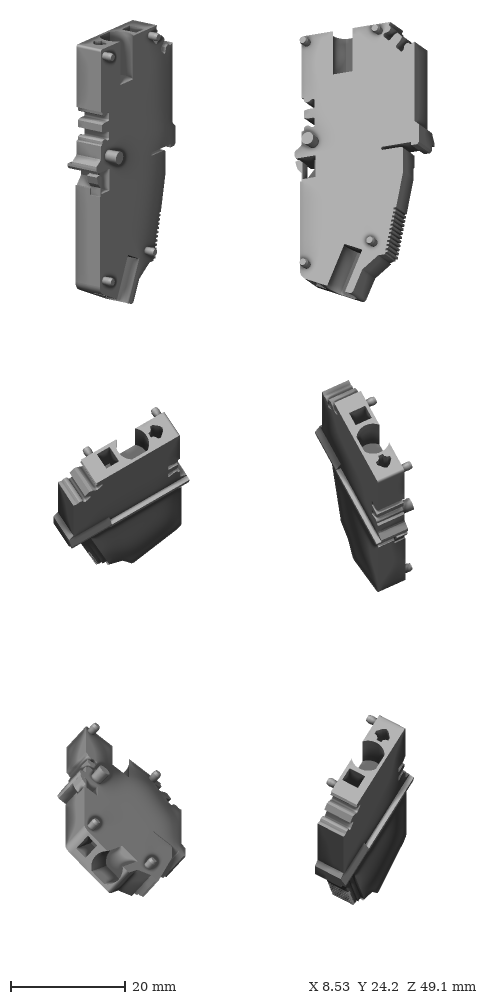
import cadquery as cq
import math


BODY_WIDTH = 5.2
TOP_Z = 22.5
UPPER_FRONT_Y = 0.3
UPPER_REAR_Y = 22.22
TOP_EDGE_RADIUS = 0.45

COLLAR_FRONT_Y = -1.06
COLLAR_REAR_Y = 23.14
COLLAR_REAR_TOP_Z = 2.6
COLLAR_REAR_SHOULDER_Z = 3.4
COLLAR_FRONT_TOP_Z = 1.37
COLLAR_FRONT_TOP_SETBACK = 0.06
COLLAR_SHOULDER_Z = 2.12
COLLAR_SHOULDER_Y = 0.12
COLLAR_WALL_Z = 2.41
COLLAR_UNDERCUT = 0.28
COLLAR_UNDERCUT_Z = 0.5
COLLAR_OVERHANG = 0.93
RIB_TOP_Z = 0.92
RIB_REAR_BOTTOM_Z = 0.42
RIB_JOG_START_Y = 15.0
RIB_JOG_END_Y = 15.55
RIB_BLOCK_FRONT_Y = 14.9
RIB_BLOCK_EDGE_Z = 1.05
RIB_BLOCK_TOP_Z = 2.53
REAR_TAB_Y = 21.6
REAR_TAB_BOTTOM_Z = -1.02
REAR_TAB_CHAMFER = 0.4

SLOT_TOP_Z = -0.44
SLOT_END_Y = 15.75
SLOT_HEIGHT = SLOT_TOP_Z - REAR_TAB_BOTTOM_Z
SLOT_SQUARE_Y = SLOT_END_Y + SLOT_HEIGHT / 2

HOLLOW_FRONT_Y = 16.15
HOLLOW_RAMP_Y = 18.28
HOLLOW_DEPTH = 0.45

LOWER_REAR_Y = 20.04
LOWER_REAR_CHAMFER = 0.3
LEAN_START_Z = -5.64
LEAN = math.tan(math.radians(12))
REAR_FOOT_Z = -20.46
REAR_FOOT_Y = 15.2
HEEL_Y = 12.1
HEEL_Z = -22.6
TOTAL_HEIGHT = 49.13
TIP_ROUNDING_LIFT = 0.19
BOTTOM_Z = TOP_Z - TOTAL_HEIGHT - TIP_ROUNDING_LIFT
TIP_Y = 10.1
TIP_RADIUS = 0.6
BASE_ANGLE = 24.9
BASE_FRONT_RADIUS = 1.9

TOOTH_COUNT = 11
TOOTH_PITCH = 0.733
TOOTH_GAP = 0.37
TOOTH_DEPTH = 0.48
TEETH_TOP_Z = -12.08

OUTER_STRIP_Y = 19.02
OUTER_STRIP_DEPTH = 0.7
INNER_STRIP_Y = 19.38
INNER_STRIP_TOP_Z = -3.6
INNER_STRIP_DEPTH = 1.0

NOTCH_REAR_Y = 1.8
NOTCH_SLOPE_Z = -1.68
NOTCH_LEDGE_Y = 0.45
NOTCH_BOTTOM_Z = -3.22
LATCH_X = 3.1
LATCH_REAR_Y = 0.47
LATCH_FACE_Y = 0.27
LATCH_BOTTOM_Z = -4.4
LATCH_RECESS_TOP_Z = -2.72
LATCH_HOOK_YZ = [(LATCH_REAR_Y, -0.9), (-0.1, -0.35), (-0.93, -0.6), (-0.5, -2.0), (LATCH_FACE_Y, -2.85)]
LATCH_POCKET_REAR_Y = 3.0
LATCH_POCKET_BOTTOM_Z = -4.0

FINGER_HALF_WIDTH = 0.65
FINGER_ROOT_HALF_WIDTH = 0.87
FINGER_TAPER = 0.7
CLIP_DEPTH = 2.09
CLIP_CORNER = 0.34
CLIP_HALF_WIDTH = 2.6
CLIP_LIP = 2.17
CLIP_LIP_DEPTH = 0.89
CLIP_LIP_MIDDLE = 2.2
CLIP_MOUTH = 2.42
CLIP_MOUTH_DEPTH = 0.06
CLIP_EDGE = 2.98
CLIP_FLARE = 0.35
CLIP_REACH = 5.0
FRONT_CLIP_YZ = (0.74, 7.95)
FRONT_CLIP_ANGLE = 0
REAR_CLIP_YZ = (19.37, 19.85)
REAR_CLIP_ANGLE = 225

OPENING_X = 3.0
ROUND_RADIUS = 2.91
ROUND_LEFT_X = 0.55
RECT_LEFT_X = 1.45
RECT_WIDTH = 3.15
TOP_RECT_LENGTH = 2.6
BASE_RECT_LENGTH = 2.35
OPENING_DEPTH = 8.0
TOP_RECT_Y = 13.28
TOP_ROUND_Y = 8.27
BASE_RECT_Y = 2.33
BASE_ROUND_Y = 7.0

KEY_X = 2.77
KEY_Y = 3.45
KEY_DEPTH = 6.0
KEY_RIGHT_HALF = [
    (0.45, 1.42),
    (0.5, 1.0),
    (0.85, 0.65),
    (1.37, 0.5),
    (1.37, -0.05),
    (0.6, -0.95),
    (0, -1.25),
]

SMALL_PIN_RADIUS = 0.76
SMALL_PIN_LENGTH = 1.8
SMALL_PIN_RING = 1.27
SMALL_PIN_TIP_RADIUS = 0.6
SMALL_PINS_YZ = [(1.4, 21.15), (15.4, 21.15), (1.4, -20.1), (14.35, -18.05)]
LARGE_PIN_RADIUS = 1.13
LARGE_PIN_LENGTH = 2.4
LARGE_PIN_RING = 2.0
LARGE_PIN_YZ = (2.6, 2.5)
NECK_LENGTH = 0.3
NECK_DEPTH = 0.06


def slab(points, x_start, x_end):
    """Prism of a YZ polygon between two X positions."""
    return cq.Workplane("YZ", origin=(x_start, 0, 0)).polyline(points).close().extrude(x_end - x_start)


def lean_y(y_top, z_top, z):
    """Y at height z of a leaning line that passes through (y_top, z_top)."""
    return y_top - LEAN * (z_top - z)


def base_z(y):
    """Height of the sloped underside at depth y."""
    return BOTTOM_Z + (TIP_Y - y) * math.tan(math.radians(BASE_ANGLE))


def rear_wall_y(z):
    return lean_y(LOWER_REAR_Y, LEAN_START_Z, z)


def make_upper_body():
    outline = [
        (UPPER_FRONT_Y, TOP_Z),
        (UPPER_REAR_Y, TOP_Z),
        (UPPER_REAR_Y, COLLAR_REAR_SHOULDER_Z),
        (COLLAR_REAR_Y, COLLAR_REAR_TOP_Z),
        (COLLAR_REAR_Y, REAR_TAB_BOTTOM_Z + REAR_TAB_CHAMFER),
        (COLLAR_REAR_Y - REAR_TAB_CHAMFER, REAR_TAB_BOTTOM_Z),
        (REAR_TAB_Y, REAR_TAB_BOTTOM_Z),
        (REAR_TAB_Y, SLOT_TOP_Z),
        (SLOT_SQUARE_Y, SLOT_TOP_Z),
        (SLOT_SQUARE_Y, 0),
        (COLLAR_FRONT_Y + COLLAR_UNDERCUT, 0),
        (COLLAR_FRONT_Y, COLLAR_UNDERCUT_Z),
        (COLLAR_FRONT_Y, RIB_TOP_Z),
        (COLLAR_FRONT_Y + COLLAR_FRONT_TOP_SETBACK, COLLAR_FRONT_TOP_Z),
        (COLLAR_SHOULDER_Y, COLLAR_SHOULDER_Z),
        (UPPER_FRONT_Y, COLLAR_WALL_Z),
    ]
    body = slab(outline, 0, BODY_WIDTH)
    return body.edges("|X").edges(">Z").edges("<Y").fillet(TOP_EDGE_RADIUS)


def make_lower_body():
    outline = [
        (0, NOTCH_BOTTOM_Z),
        (NOTCH_LEDGE_Y, NOTCH_BOTTOM_Z),
        (NOTCH_REAR_Y, NOTCH_SLOPE_Z),
        (NOTCH_REAR_Y, 0),
        (SLOT_SQUARE_Y, 0),
        (SLOT_SQUARE_Y, REAR_TAB_BOTTOM_Z),
        (LOWER_REAR_Y - LOWER_REAR_CHAMFER, REAR_TAB_BOTTOM_Z),
        (LOWER_REAR_Y, REAR_TAB_BOTTOM_Z - LOWER_REAR_CHAMFER),
        (LOWER_REAR_Y, LEAN_START_Z),
        (rear_wall_y(REAR_FOOT_Z), REAR_FOOT_Z),
        (REAR_FOOT_Y, REAR_FOOT_Z),
        (HEEL_Y, HEEL_Z),
        (TIP_Y, BOTTOM_Z),
        (0, base_z(0)),
    ]
    body = slab(outline, 0, BODY_WIDTH)
    middle = BODY_WIDTH / 2
    body = body.edges(cq.NearestToPointSelector((middle, TIP_Y, BOTTOM_Z))).fillet(TIP_RADIUS)
    return body.edges(cq.NearestToPointSelector((middle, 0, base_z(0)))).fillet(BASE_FRONT_RADIUS)


def cut_slot_end(body):
    """Round the closed end of the slot under the collar."""
    centre_z = (SLOT_TOP_Z + REAR_TAB_BOTTOM_Z) / 2
    end = cq.Workplane("YZ").center(SLOT_SQUARE_Y, centre_z).circle(SLOT_HEIGHT / 2).extrude(BODY_WIDTH)
    return body.cut(end)


def make_side_rib():
    """Rib of the collar on the left face, with the taller sloped block at its rear."""
    rib_outline = [
        (COLLAR_FRONT_Y + COLLAR_UNDERCUT, 0),
        (RIB_JOG_START_Y, 0),
        (RIB_JOG_END_Y, RIB_REAR_BOTTOM_Z),
        (COLLAR_REAR_Y, RIB_REAR_BOTTOM_Z),
        (COLLAR_REAR_Y, RIB_TOP_Z),
        (COLLAR_FRONT_Y, RIB_TOP_Z),
        (COLLAR_FRONT_Y, COLLAR_UNDERCUT_Z),
    ]
    rib = slab(rib_outline, -COLLAR_OVERHANG, 0)
    block_profile = [
        (0, RIB_REAR_BOTTOM_Z),
        (-COLLAR_OVERHANG, RIB_REAR_BOTTOM_Z),
        (-COLLAR_OVERHANG, RIB_BLOCK_EDGE_Z),
        (0, RIB_BLOCK_TOP_Z),
    ]
    block = (
        cq.Workplane("XZ", origin=(0, COLLAR_REAR_Y, 0))
        .polyline(block_profile)
        .close()
        .extrude(COLLAR_REAR_Y - RIB_BLOCK_FRONT_Y)
    )
    return rib.union(block)


def make_hollow():
    """Recess in the left face under the rib, ramping out at its front end."""
    plan = [
        (0, HOLLOW_FRONT_Y),
        (HOLLOW_DEPTH, HOLLOW_RAMP_Y),
        (HOLLOW_DEPTH, REAR_TAB_Y),
        (0, REAR_TAB_Y),
    ]
    height = RIB_REAR_BOTTOM_Z - SLOT_TOP_Z
    return cq.Workplane("XY", origin=(0, 0, SLOT_TOP_Z)).polyline(plan).close().extrude(height)


def make_strip(y_top, z_top, depth):
    """Recess in the left face behind a line parallel to the leaning rear wall."""
    outline = [
        (y_top, z_top),
        (LOWER_REAR_Y, z_top),
        (LOWER_REAR_Y, REAR_FOOT_Z),
        (lean_y(y_top, z_top, REAR_FOOT_Z), REAR_FOOT_Z),
    ]
    return slab(outline, 0, depth)


def cut_teeth(body):
    for index in range(TOOTH_COUNT + 1):
        z_top = TEETH_TOP_Z - index * TOOTH_PITCH
        z_bottom = max(z_top - TOOTH_GAP, REAR_FOOT_Z)
        root_y = rear_wall_y(z_top) - TOOTH_DEPTH
        gap = [(root_y, z_top), (LOWER_REAR_Y, z_top), (LOWER_REAR_Y, z_bottom), (root_y, z_bottom)]
        body = body.cut(slab(gap, 0, BODY_WIDTH))
    return body


def make_latch():
    """Hooked latch standing in the front notch, on the right half of the width."""
    hook = [
        (LATCH_REAR_Y, LATCH_POCKET_BOTTOM_Z),
        *LATCH_HOOK_YZ,
        (LATCH_FACE_Y, LATCH_POCKET_BOTTOM_Z),
    ]
    return slab(hook, LATCH_X, BODY_WIDTH)


def make_latch_clearance():
    """Shallow recess in front of the latch root and pocket behind it."""
    recess = [
        (0, LATCH_RECESS_TOP_Z),
        (LATCH_FACE_Y, LATCH_RECESS_TOP_Z),
        (LATCH_FACE_Y, LATCH_BOTTOM_Z),
        (0, LATCH_BOTTOM_Z),
    ]
    pocket = [
        (LATCH_REAR_Y, 0),
        (LATCH_POCKET_REAR_Y, 0),
        (LATCH_POCKET_REAR_Y, LATCH_POCKET_BOTTOM_Z),
        (LATCH_REAR_Y, LATCH_POCKET_BOTTOM_Z),
    ]
    return slab(recess, LATCH_X, BODY_WIDTH).union(slab(pocket, LATCH_X, BODY_WIDTH))


def make_clip_cutter(position, angle):
    """Cutter that leaves one finger between two hooked slots; angle 0 faces -Y."""
    round_start = CLIP_DEPTH - CLIP_CORNER
    bulge = CLIP_CORNER * (1 - math.sqrt(0.5))

    def half(side):
        return (
            cq.Workplane("YZ")
            .moveTo(0, 0)
            .lineTo(0, side * FINGER_HALF_WIDTH)
            .lineTo(FINGER_TAPER, side * FINGER_ROOT_HALF_WIDTH)
            .lineTo(round_start, side * FINGER_ROOT_HALF_WIDTH)
            .threePointArc(
                (CLIP_DEPTH - bulge, side * (FINGER_ROOT_HALF_WIDTH + bulge)),
                (CLIP_DEPTH, side * (FINGER_ROOT_HALF_WIDTH + CLIP_CORNER)),
            )
            .lineTo(CLIP_DEPTH, side * (CLIP_HALF_WIDTH - CLIP_CORNER))
            .threePointArc(
                (CLIP_DEPTH - bulge, side * (CLIP_HALF_WIDTH - bulge)),
                (round_start, side * CLIP_HALF_WIDTH),
            )
            .lineTo(round_start - CLIP_CORNER / 2, side * CLIP_HALF_WIDTH)
            .lineTo(CLIP_LIP_DEPTH, side * CLIP_LIP)
            .threePointArc(
                (CLIP_LIP_DEPTH / 2, side * CLIP_LIP_MIDDLE),
                (CLIP_MOUTH_DEPTH, side * CLIP_MOUTH),
            )
            .lineTo(0, side * CLIP_EDGE)
            .lineTo(-CLIP_REACH, side * (CLIP_EDGE + CLIP_FLARE * CLIP_REACH))
            .lineTo(-CLIP_REACH, 0)
            .close()
            .extrude(BODY_WIDTH)
        )

    cutter = half(1).union(half(-1))
    return cutter.rotate((0, 0, 0), (1, 0, 0), angle).translate((0, *position))


def make_round_opening():
    """Downward cylinder, flattened towards the left face; its mouth is at the origin."""
    cylinder = cq.Workplane("XY").center(OPENING_X, 0).circle(ROUND_RADIUS).extrude(-OPENING_DEPTH)
    keep = (
        cq.Workplane("XY")
        .center(ROUND_LEFT_X + BODY_WIDTH / 2, 0)
        .rect(BODY_WIDTH, 2 * ROUND_RADIUS)
        .extrude(-OPENING_DEPTH)
    )
    return cylinder.intersect(keep)


def make_rect_opening(length):
    centre_x = RECT_LEFT_X + RECT_WIDTH / 2
    return cq.Workplane("XY").center(centre_x, 0).rect(RECT_WIDTH, length).extrude(-OPENING_DEPTH)


def onto_base(opening, y):
    """Turn a downward opening so that it enters the sloped underside at depth y."""
    turned = opening.rotate((0, 0, 0), (1, 0, 0), 180 - BASE_ANGLE)
    return turned.translate((0, y, base_z(y)))


def cut_openings(body):
    body = body.cut(make_rect_opening(TOP_RECT_LENGTH).translate((0, TOP_RECT_Y, TOP_Z)))
    body = body.cut(make_round_opening().translate((0, TOP_ROUND_Y, TOP_Z)))
    body = body.cut(onto_base(make_rect_opening(BASE_RECT_LENGTH), BASE_RECT_Y))
    return body.cut(onto_base(make_round_opening(), BASE_ROUND_Y))


def make_key_hole():
    """Blunt diamond with a neck on its rear corner and shoulders at its sides."""
    left_half = [(-x, y) for x, y in reversed(KEY_RIGHT_HALF[:-1])]
    return (
        cq.Workplane("XY", origin=(KEY_X, KEY_Y, TOP_Z))
        .polyline(KEY_RIGHT_HALF + left_half)
        .close()
        .extrude(-KEY_DEPTH)
    )


def make_pin(position, radius, length, ring, tip_radius):
    """Turned pin on the right face: plain neck, then widening to a ring, then its tip."""
    neck_radius = radius - NECK_DEPTH
    profile = [
        (0, 0),
        (0, neck_radius),
        (NECK_LENGTH, neck_radius),
        (ring, radius),
        (length, tip_radius),
        (length, 0),
    ]
    pin = cq.Workplane("XY").polyline(profile).close().revolve(360, (0, 0, 0), (1, 0, 0))
    return pin.translate((BODY_WIDTH, *position))


def make_part():
    body = make_upper_body().union(make_lower_body())
    body = cut_slot_end(body)
    body = body.cut(make_hollow())
    body = body.union(make_side_rib())
    body = body.cut(make_strip(OUTER_STRIP_Y, REAR_TAB_BOTTOM_Z, OUTER_STRIP_DEPTH))
    body = body.cut(make_strip(INNER_STRIP_Y, INNER_STRIP_TOP_Z, INNER_STRIP_DEPTH))
    body = cut_teeth(body)
    body = body.cut(make_latch_clearance())
    body = body.union(make_latch())
    body = body.cut(make_clip_cutter(FRONT_CLIP_YZ, FRONT_CLIP_ANGLE))
    body = body.cut(make_clip_cutter(REAR_CLIP_YZ, REAR_CLIP_ANGLE))
    body = cut_openings(body)
    body = body.cut(make_key_hole())
    for position in SMALL_PINS_YZ:
        pin = make_pin(position, SMALL_PIN_RADIUS, SMALL_PIN_LENGTH, SMALL_PIN_RING, SMALL_PIN_TIP_RADIUS)
        body = body.union(pin)
    large_pin = make_pin(LARGE_PIN_YZ, LARGE_PIN_RADIUS, LARGE_PIN_LENGTH, LARGE_PIN_RING, LARGE_PIN_RADIUS)
    return body.union(large_pin)


result = make_part()